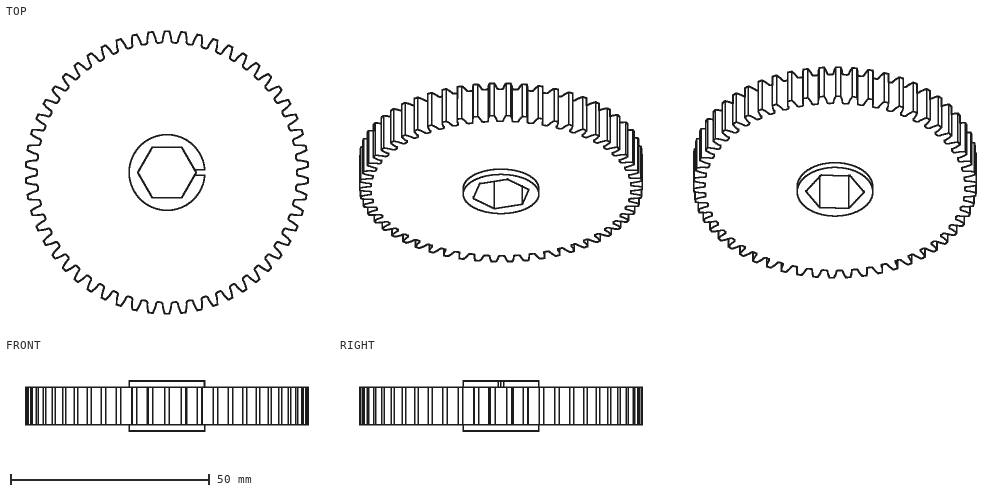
import cadquery as cq
import math

TEETH = 54
INCH = 25.4
DIAMETRAL_PITCH = 20
MODULE = INCH / DIAMETRAL_PITCH
PRESSURE_ANGLE = math.radians(14.5)
DEDENDUM = 1.25 * MODULE
ROOT_FILLET = 0.52
FLANK_CLEARANCE = 0.03
FACE_WIDTH = 9.525
FIRST_TOOTH_ANGLE = math.pi / 2
FLANK_POINTS = 5

HUB_DIAMETER = 19.05
OVERALL_HEIGHT = 12.65

HEX_SIDES = 6
HEX_ACROSS_FLATS = 12.7

SLOT_WIDTH = 1.5

PITCH_RADIUS = MODULE * TEETH / 2
TIP_RADIUS = PITCH_RADIUS + MODULE
ROOT_RADIUS = PITCH_RADIUS - DEDENDUM
BASE_RADIUS = PITCH_RADIUS * math.cos(PRESSURE_ANGLE)
TOOTH_STEP = 2 * math.pi / TEETH
HEX_ACROSS_CORNERS = HEX_ACROSS_FLATS / math.cos(math.pi / HEX_SIDES)
HUB_RISE = (OVERALL_HEIGHT - FACE_WIDTH) / 2


def polar(radius, angle):
    return (radius * math.cos(angle), radius * math.sin(angle))


def involute(angle):
    return math.tan(angle) - angle


def tooth_flank():
    """Fillet middle, fillet root end and involute points of one flank.

    Points are (radius, angle off the tooth centre) pairs. The involute points
    run from the top of the root fillet to the tip, evenly spaced in roll angle
    (the tangent of the pressure angle).
    """
    pitch_half_angle = TOOTH_STEP / 4 - FLANK_CLEARANCE / PITCH_RADIUS
    base_half_angle = pitch_half_angle + involute(PRESSURE_ANGLE)

    centre_radius = ROOT_RADIUS + ROOT_FILLET
    centre_pressure = math.acos(BASE_RADIUS / centre_radius)
    centre_angle = base_half_angle - involute(centre_pressure) + ROOT_FILLET / BASE_RADIUS

    start_roll = math.tan(centre_pressure) - ROOT_FILLET / BASE_RADIUS
    tip_roll = math.tan(math.acos(BASE_RADIUS / TIP_RADIUS))
    roll_step = (tip_roll - start_roll) / (FLANK_POINTS - 1)
    flank = []
    for i in range(FLANK_POINTS):
        pressure = math.atan(start_roll + i * roll_step)
        flank.append((BASE_RADIUS / math.cos(pressure), base_half_angle - involute(pressure)))

    facing_root = centre_angle + math.pi
    facing_flank = centre_angle - centre_pressure + 3 * math.pi / 2
    centre_x, centre_y = polar(centre_radius, centre_angle)
    reach_x, reach_y = polar(ROOT_FILLET, (facing_root + facing_flank) / 2)
    middle_x = centre_x + reach_x
    middle_y = centre_y + reach_y
    fillet_middle = (math.hypot(middle_x, middle_y), math.atan2(middle_y, middle_x))
    return fillet_middle, (ROOT_RADIUS, centre_angle), flank


def make_gear():
    fillet_middle, root_end, flank = tooth_flank()

    def place(centre_angle, side, point):
        """Point on one side (-1 or +1) of the tooth at centre_angle."""
        radius, angle = point
        return polar(radius, centre_angle + side * angle)

    start = place(FIRST_TOOTH_ANGLE, -1, root_end)
    outline = cq.Workplane("XY", origin=(0, 0, -FACE_WIDTH / 2)).moveTo(*start)
    for tooth in range(TEETH):
        centre = FIRST_TOOTH_ANGLE + tooth * TOOTH_STEP
        rising = [place(centre, -1, point) for point in flank]
        falling = [place(centre, 1, point) for point in reversed(flank)]
        next_root = place(centre + TOOTH_STEP, -1, root_end)
        outline = (
            outline.threePointArc(place(centre, -1, fillet_middle), rising[0])
            .spline(rising[1:], includeCurrent=True)
            .threePointArc(polar(TIP_RADIUS, centre), falling[0])
            .spline(falling[1:], includeCurrent=True)
            .threePointArc(place(centre, 1, fillet_middle), place(centre, 1, root_end))
            .threePointArc(polar(ROOT_RADIUS, centre + TOOTH_STEP / 2), next_root)
        )
    return outline.close().extrude(FACE_WIDTH)


def make_hub():
    bottom = cq.Workplane("XY", origin=(0, 0, -OVERALL_HEIGHT / 2))
    return bottom.circle(HUB_DIAMETER / 2).extrude(OVERALL_HEIGHT)


def make_hex_bore():
    bottom = cq.Workplane("XY", origin=(0, 0, -OVERALL_HEIGHT / 2))
    return bottom.polygon(HEX_SIDES, HEX_ACROSS_CORNERS).extrude(OVERALL_HEIGHT)


def make_slot():
    return (
        cq.Workplane("XY", origin=(0, 0, FACE_WIDTH / 2))
        .center(HUB_DIAMETER / 4, 0)
        .rect(HUB_DIAMETER / 2, SLOT_WIDTH)
        .extrude(HUB_RISE)
    )


result = make_gear().union(make_hub()).cut(make_hex_bore()).cut(make_slot())